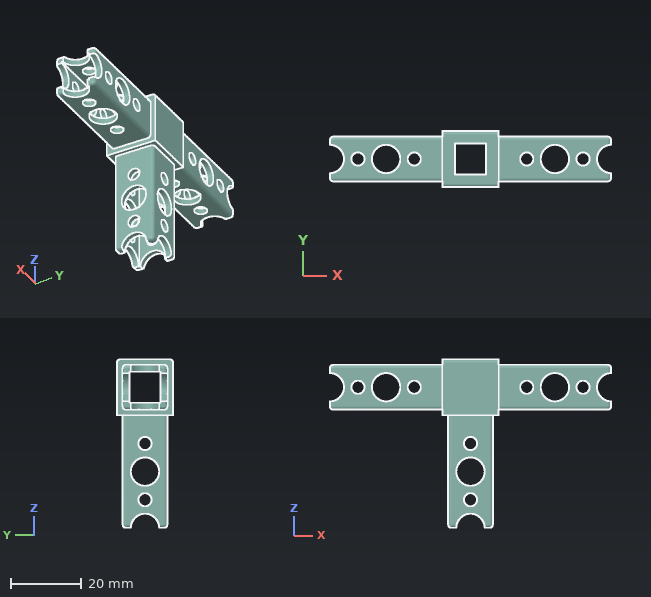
import cadquery as cq

HUB_SIZE = 16.0
SPAN = 80.0
TUBE_SIZE = 12.8
WALL = 2.0
LARGE_HOLE_DIAMETER = 8.0
SMALL_HOLE_DIAMETER = 3.7
HOLE_PITCH = 8.0

BORE_SIZE = TUBE_SIZE - 2 * WALL
EDGE_RADIUS = WALL / 2
ARM_LENGTH = (SPAN - HUB_SIZE) / 2

HOLE_DIAMETERS = [LARGE_HOLE_DIAMETER, SMALL_HOLE_DIAMETER, LARGE_HOLE_DIAMETER, SMALL_HOLE_DIAMETER]


def make_tube():
    """Square tube rising along +Z from the hub face at Z = HUB_SIZE / 2 to its rounded, notched tip."""
    base = HUB_SIZE / 2
    tip = base + ARM_LENGTH
    tube = (
        cq.Workplane("XY", origin=(0, 0, base))
        .rect(TUBE_SIZE, TUBE_SIZE)
        .extrude(ARM_LENGTH)
        .edges("|Z or >Z")
        .fillet(EDGE_RADIUS)
    )
    bore = cq.Workplane("XY", origin=(0, 0, base)).rect(BORE_SIZE, BORE_SIZE).extrude(ARM_LENGTH)
    tube = tube.cut(bore)

    for plane in ("XZ", "YZ"):
        for index, diameter in enumerate(HOLE_DIAMETERS):
            height = tip - index * HOLE_PITCH
            hole = cq.Workplane(plane).center(0, height).circle(diameter / 2).extrude(TUBE_SIZE, both=True)
            tube = tube.cut(hole)
    return tube


def make_hub():
    """Cube with rounded upper edges along X, opened by square bores along X and Z."""
    hub = (
        cq.Workplane("XY")
        .box(HUB_SIZE, HUB_SIZE, HUB_SIZE)
        .edges("|X and >Z")
        .fillet(EDGE_RADIUS)
    )
    x_bore = cq.Workplane("XY").box(HUB_SIZE, BORE_SIZE, BORE_SIZE)
    z_bore = cq.Workplane("XY").box(BORE_SIZE, BORE_SIZE, HUB_SIZE)
    return hub.cut(x_bore).cut(z_bore)


def make_crossbar():
    """Hub and its two horizontal arms, made as one solid."""
    crossbar = make_hub()
    for angle in (90, -90):
        arm = make_tube().rotate((0, 0, 0), (0, 1, 0), angle)
        crossbar = crossbar.union(arm)
    return crossbar


def make_leg():
    """Separate tube hanging from the underside of the hub."""
    return make_tube().rotate((0, 0, 0), (0, 1, 0), 180)


crossbar = make_crossbar()
leg = make_leg()
result = cq.Compound.makeCompound([crossbar.val(), leg.val()])